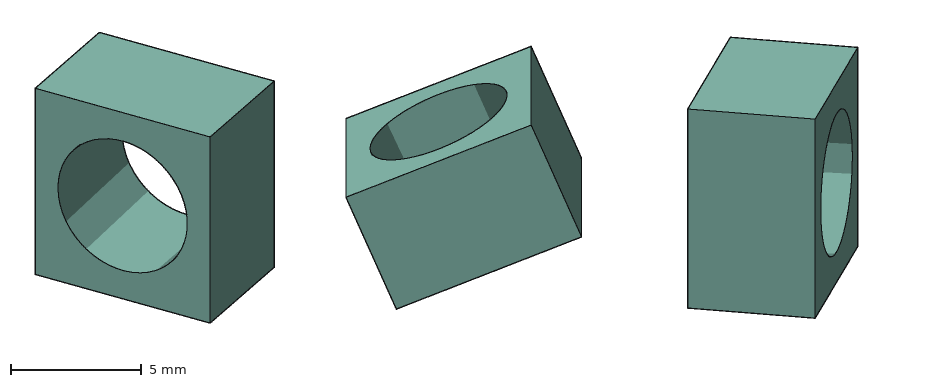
import cadquery as cq

width = 7.7
depth = 5.0
height = 8.2

bore_diameter = 5.69

block = cq.Workplane("XY").box(width, depth, height)

result = block.faces("<Y").workplane(centerOption="CenterOfBoundBox").hole(bore_diameter)